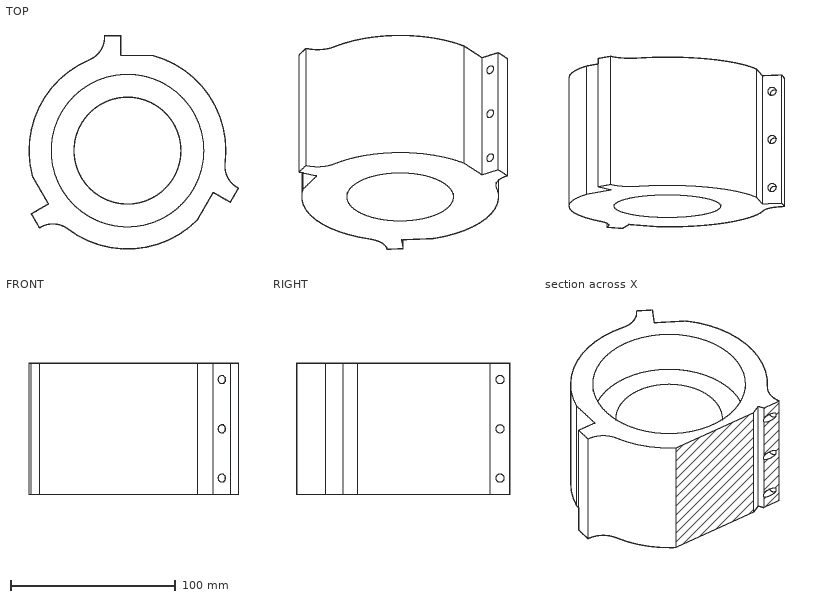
import cadquery as cq
import math

height = 80.0
body_radius = 60.0
bore_radius = 32.5
counterbore_radius = 46.5
counterbore_depth = 28.0

lug_count = 3
lug_tip_y = 70.0
lug_width = 10.0
flank_x = -4.0
back_x = flank_x - lug_width
seat_y = 58.0
fillet_radius = 15.0

hole_diameter = 5.0
hole_depth = 8.0
hole_y = (seat_y + lug_tip_y) / 2
hole_end_margin = 10.0
hole_heights = (hole_end_margin, height / 2, height - hole_end_margin)


def make_lug():
    """Lug with a straight flank on one side and a fillet blending into the body on the other."""
    center_distance = body_radius + fillet_radius
    center_x = back_x - fillet_radius
    center_y = math.sqrt(center_distance**2 - center_x**2)
    center_angle = math.atan2(center_y, center_x)

    body_tangent = (body_radius * math.cos(center_angle), body_radius * math.sin(center_angle))
    back_tangent = (back_x, center_y)
    middle_angle = (center_angle - math.pi) / 2
    fillet_middle = (
        center_x + fillet_radius * math.cos(middle_angle),
        center_y + fillet_radius * math.sin(middle_angle),
    )
    root_y = (counterbore_radius + body_radius) / 2
    return (
        cq.Workplane("XY")
        .moveTo(flank_x, root_y)
        .lineTo(flank_x, lug_tip_y)
        .lineTo(back_x, lug_tip_y)
        .lineTo(*back_tangent)
        .threePointArc(fillet_middle, body_tangent)
        .close()
        .extrude(height)
    )


def make_seat_cut():
    """Block that trims the body to a flat seat beside the lug's flank."""
    return cq.Workplane("XY").box(
        body_radius, lug_tip_y - seat_y, height, centered=False
    ).translate((flank_x, seat_y, 0))


def make_flank_holes():
    """Column of blind holes drilled square into the lug's flank."""
    return (
        cq.Workplane("YZ", origin=(flank_x, 0, 0))
        .pushPoints([(hole_y, z) for z in hole_heights])
        .circle(hole_diameter / 2)
        .extrude(-hole_depth)
    )


def around_axis(shape, index):
    """Turn a shape about Z to the lug position with the given index."""
    return shape.rotate((0, 0, 0), (0, 0, 1), index * 360 / lug_count)


def make_body():
    """Plain cylinder with a through bore, counterbored from the top."""
    body = cq.Workplane("XY").circle(body_radius).circle(bore_radius).extrude(height)
    counterbore = (
        cq.Workplane("XY", origin=(0, 0, height - counterbore_depth))
        .circle(counterbore_radius)
        .extrude(counterbore_depth)
    )
    return body.cut(counterbore)


result = make_body()
for lug_index in range(lug_count):
    result = result.cut(around_axis(make_seat_cut(), lug_index))
    result = result.union(around_axis(make_lug(), lug_index))
    result = result.cut(around_axis(make_flank_holes(), lug_index))